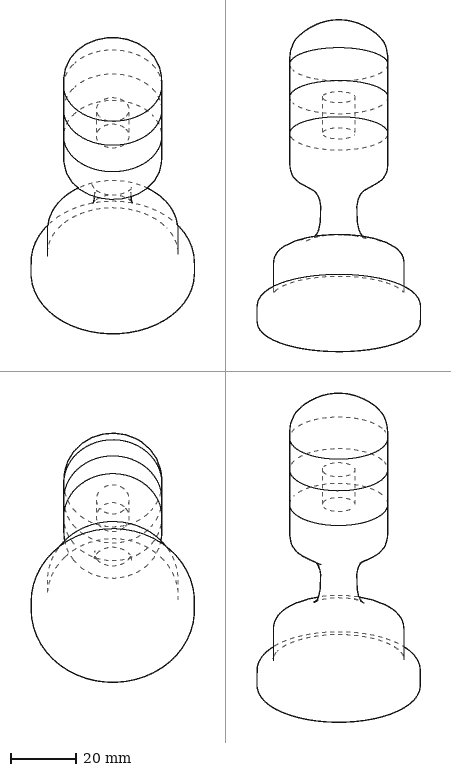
import cadquery as cq

TOTAL_HEIGHT = 98.0
HEAD_RADIUS = 15.0
DRUM_RADIUS = 20.0
FLANGE_RADIUS = 25.0

FLANGE_HEIGHT = 8.0
FLANGE_TOP_FILLET = 2.0
FLANGE_BOTTOM_FILLET = 1.1
DRUM_FOOT_FILLET = 2.0
DRUM_TOP = 20.0

LOWER_SLOPE_POINT = (16.1, 23.6)
LOWER_NECK_POINT = (7.1, 28.8)
NECK_POINT = (5.6, 34.8)
UPPER_NECK_POINT = (7.3, 43.6)
UPPER_SLOPE_POINT = (13.0, 48.0)

HEAD_BOTTOM = 52.1
RING_BOTTOM = 62.2
RING_TOP = 74.0
CAP_BOTTOM = 84.7
CORE_RADIUS = 5.0

DOME_BOTTOM = 87.0
DOME_MIDDLE_POINT = (11.6, 93.7)

UP = (0, 1)
INWARD = (-1, 0)

SELECTION_MARGIN = 0.1


def revolve(profile):
    """Turn a closed (radius, height) profile around the Z axis."""
    return profile.close().revolve(360, (0, 0, 0), (0, 1, 0))


def make_flange():
    """Round flange with both rims rounded."""
    return (
        cq.Workplane("XY")
        .circle(FLANGE_RADIUS)
        .extrude(FLANGE_HEIGHT)
        .edges(">Z")
        .fillet(FLANGE_TOP_FILLET)
        .edges("<Z")
        .fillet(FLANGE_BOTTOM_FILLET)
    )


def make_stem():
    """Drum, waist and head below the cap, with a groove for the ring."""
    return revolve(
        cq.Workplane("XZ")
        .moveTo(0, FLANGE_HEIGHT)
        .lineTo(DRUM_RADIUS, FLANGE_HEIGHT)
        .lineTo(DRUM_RADIUS, DRUM_TOP)
        .spline(
            [
                LOWER_SLOPE_POINT,
                LOWER_NECK_POINT,
                NECK_POINT,
                UPPER_NECK_POINT,
                UPPER_SLOPE_POINT,
                (HEAD_RADIUS, HEAD_BOTTOM),
            ],
            tangents=[UP, UP],
            includeCurrent=True,
        )
        .lineTo(HEAD_RADIUS, RING_BOTTOM)
        .lineTo(CORE_RADIUS, RING_BOTTOM)
        .lineTo(CORE_RADIUS, RING_TOP)
        .lineTo(HEAD_RADIUS, RING_TOP)
        .lineTo(HEAD_RADIUS, CAP_BOTTOM)
        .lineTo(0, CAP_BOTTOM)
    )


def make_body():
    """Flange and stem in one piece, with a rounded corner where they meet."""
    reach = DRUM_RADIUS + SELECTION_MARGIN
    drum_foot = cq.selectors.BoxSelector(
        (-reach, -reach, FLANGE_HEIGHT - SELECTION_MARGIN),
        (reach, reach, FLANGE_HEIGHT + SELECTION_MARGIN),
        boundingbox=True,
    )
    return make_flange().union(make_stem()).edges(drum_foot).fillet(DRUM_FOOT_FILLET).solids()


def make_ring():
    """Ring that fills the groove of the body."""
    return (
        cq.Workplane("XY", origin=(0, 0, RING_BOTTOM))
        .circle(HEAD_RADIUS)
        .circle(CORE_RADIUS)
        .extrude(RING_TOP - RING_BOTTOM)
    )


def make_cap():
    """Domed cap on top of the body."""
    return revolve(
        cq.Workplane("XZ")
        .moveTo(0, CAP_BOTTOM)
        .lineTo(HEAD_RADIUS, CAP_BOTTOM)
        .lineTo(HEAD_RADIUS, DOME_BOTTOM)
        .spline([DOME_MIDDLE_POINT, (0, TOTAL_HEIGHT)], tangents=[UP, INWARD], includeCurrent=True)
    )


body = make_body()
ring = make_ring()
cap = make_cap()
result = cq.Compound.makeCompound([body.val(), ring.val(), cap.val()])